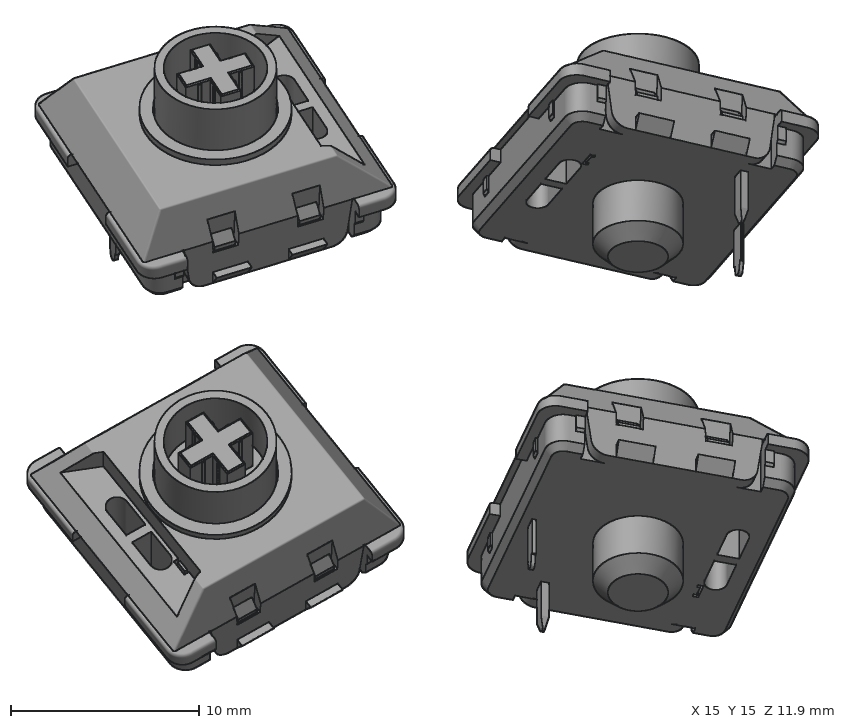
import cadquery as cq


flange_bottom = 2.2
flange_top = 3
housing_top = 5.3
collar_top = 5.7
stem_top = 8.6
peg_bottom = -3.3

overlap = 0.15

body_width = 13.8
body_corner_radius = 1.0
body_chamfer_height = 0.44
body_chamfer_inset = 0.35
lug_width = 0.5
lug_reach = 0.1
lug_tip = 1.2
lug_slope_height = 0.18
end_lug_x = 4.26

flange_width = 15
flange_corner_radius = 1.0
flange_edge_radius = 0.2
flange_gap_x = 4.95
flange_gap_y = 9.99

housing_base_x = 13.68
housing_base_y = 14.55
housing_roof_x = 11.28
housing_roof_front = -5.76
housing_roof_back = 4.56
housing_edge_radius = 0.12

plate_top_half = 4.9
plate_bottom_half = 4.5
plate_corner_radius = 0.93
side_recess_depth = 0.75
clip_y = 2.48
clip_top_width = 1.6
clip_bottom_width = 1.47
clip_wall_x = 6.24
clip_top = 4.12
catch_width = 1.2
catch_edge_x = 6.74
catch_edge_height = 2.46
hook_y = 2.2
hook_width = 2.04
hook_reach = 0.5
hook_height = 0.8

bay_floor = 3.9
bay_front_y = 4.08
bay_back_y = 6.21
bay_front_half = 4.6
bay_back_half = 5.55
window_y = 4.92
window_height = 1.23
window_length = 5.35
window_bar = 0.55
leaf_slot_x = -3.03
leaf_slot_width = 1.0
leaf_slot_depth = 0.3
leaf_width = 0.68
leaf_thickness = 0.16

collar_diameter = 8.1
collar_bore = 6.66
stem_diameter = 6.5
cup_diameter = 5.5
cup_floor = housing_top
cross_span = 3.99
cross_arm = 1.15
cross_drop = 0.1
cross_chamfer = 0.08
cross_rib_width = 0.2
cross_rib_reach = 0.06
cross_rib_offset = 1.18
cross_rib_drop = 0.12
peg_diameter = 4.8
peg_chamfer = 0.8

pin_tip = -3
pin_taper_start = -2.3
pin_tip_radius = 0.25
thick_pin_x = -4.98
thick_pin_y = -3.8
thick_pin_width = 0.8
thick_pin_thickness = 0.45
thick_pin_tip = 0.12
thin_pin_y = -5.9
thin_pin_width = 0.9
thin_pin_neck = 0.7
thin_pin_thickness = 0.22
thin_pin_chamfer = 0.12


def block(x_size, y_size, bottom, top, x=0, y=0):
    """Box centred on (x, y) between two heights."""
    return cq.Workplane("XY", origin=(x, y, bottom)).rect(x_size, y_size).extrude(top - bottom)


def cylinder(diameter, bottom, top):
    return cq.Workplane("XY", origin=(0, 0, bottom)).circle(diameter / 2).extrude(top - bottom)


def both_sides(shape):
    """The shape together with its mirror image in X."""
    return shape.union(shape.mirror("YZ"))


def wedge(points, width, y):
    """Outline in X and Z, extruded along Y and centred on y."""
    return cq.Workplane("XZ", origin=(0, y + width / 2, 0)).polyline(points).close().extrude(width)


def lug(face, centre):
    """Small catch with a sloped tip under the flange, on the +X face of the body."""
    points = [
        (face - overlap, flange_bottom),
        (face + lug_reach, flange_bottom),
        (face + lug_reach, lug_tip + lug_slope_height),
        (face, lug_tip),
        (face - overlap, lug_tip),
    ]
    return wedge(points, lug_width, centre)


def make_body():
    half = body_width / 2
    body = block(body_width, body_width, 0, flange_top).edges("|Z").fillet(body_corner_radius)
    body = body.faces("<Z").chamfer(body_chamfer_height, body_chamfer_inset)
    recess = block(side_recess_depth, flange_gap_y, 0, flange_top, half - side_recess_depth / 2)
    body = body.cut(both_sides(recess))
    side_lug_y = (flange_gap_y + lug_width) / 2
    for sign in (1, -1):
        side_lugs = both_sides(lug(half, sign * side_lug_y))
        end_lugs = both_sides(lug(half, sign * end_lug_x)).rotate((0, 0, 0), (0, 0, 1), 90)
        body = body.union(side_lugs).union(end_lugs)
    return body


def make_flange():
    flange = block(flange_width, flange_width, flange_bottom, flange_top)
    flange = flange.edges("|Z").fillet(flange_corner_radius)
    flange = flange.faces(">Z").edges().fillet(flange_edge_radius)
    flange = flange.cut(block(flange_gap_x, flange_width, flange_bottom, flange_top))
    return flange.cut(block(flange_width, flange_gap_y, flange_bottom, flange_top))


def make_housing():
    roof_depth = housing_roof_back - housing_roof_front
    roof_centre = (housing_roof_back + housing_roof_front) / 2
    housing = (
        cq.Workplane("XY", origin=(0, 0, flange_top))
        .rect(housing_base_x, housing_base_y)
        .workplane(offset=housing_top - flange_top)
        .center(0, roof_centre)
        .rect(housing_roof_x, roof_depth)
        .loft(ruled=True)
    )
    return housing.edges("not <Z").fillet(housing_edge_radius)


def make_side_plates():
    """Slab across the whole body whose two ends form the side plates."""
    return (
        cq.Workplane("YZ", origin=(-housing_base_x / 2, 0, 0))
        .polyline([
            (-plate_top_half, flange_top),
            (plate_top_half, flange_top),
            (plate_bottom_half, 0),
            (-plate_bottom_half, 0),
        ])
        .close()
        .extrude(housing_base_x)
        .edges("|X and <Z")
        .fillet(plate_corner_radius)
    )


def cut_bay(part):
    bay = (
        cq.Workplane("XY", origin=(0, 0, bay_floor))
        .polyline([
            (-bay_front_half, bay_front_y),
            (bay_front_half, bay_front_y),
            (bay_back_half, bay_back_y),
            (-bay_back_half, bay_back_y),
        ])
        .close()
        .extrude(housing_top - bay_floor)
    )
    windows = (
        cq.Workplane("XY", origin=(0, window_y, 0)).slot2D(window_length, window_height).extrude(bay_floor)
        .cut(block(window_bar, window_height, 0, bay_floor, 0, window_y))
    )
    slot_y = bay_front_y + leaf_slot_depth / 2
    leaf_y = bay_front_y + leaf_thickness / 2
    leaf_slot = block(leaf_slot_width, leaf_slot_depth, 0, bay_floor, leaf_slot_x, slot_y)
    leaf = block(leaf_width, leaf_thickness, 0, bay_floor, leaf_slot_x, leaf_y)
    return part.cut(bay).cut(windows).cut(leaf_slot.cut(leaf))


def add_clip(part, y):
    """Pair of tapered clip openings at one Y position, each with a sloped catch inside."""
    plate_x = housing_base_x / 2
    opening = (
        cq.Workplane("YZ", origin=(clip_wall_x, y, 0))
        .polyline([
            (-clip_top_width / 2, clip_top),
            (clip_top_width / 2, clip_top),
            (clip_bottom_width / 2, flange_bottom),
            (-clip_bottom_width / 2, flange_bottom),
        ])
        .close()
        .extrude(plate_x - clip_wall_x)
    )
    catch_points = [
        (clip_wall_x, flange_bottom),
        (catch_edge_x, flange_bottom),
        (catch_edge_x, catch_edge_height),
        (clip_wall_x, flange_top),
    ]
    catch = wedge(catch_points, catch_width, y)
    return part.cut(both_sides(opening)).union(both_sides(catch))


def make_hooks(y):
    """Pair of hooks at the foot of the side plates, flat on top and sloped below."""
    plate_x = housing_base_x / 2
    points = [
        (plate_x - overlap, 0),
        (plate_x, 0),
        (plate_x + hook_reach, hook_height),
        (plate_x - overlap, hook_height),
    ]
    return both_sides(wedge(points, hook_width, y))


def make_stem():
    collar = cylinder(collar_diameter, housing_top, collar_top)
    collar = collar.cut(cylinder(collar_bore, housing_top, collar_top))
    cup = cylinder(stem_diameter, housing_top, stem_top).cut(cylinder(cup_diameter, cup_floor, stem_top))
    cross_top = stem_top - cross_drop
    cross = block(cross_span, cross_arm, cup_floor, cross_top)
    cross = cross.union(block(cross_arm, cross_span, cup_floor, cross_top))
    cross = cross.faces(">Z").chamfer(cross_chamfer)
    rib_top = cross_top - cross_rib_drop
    rib_span = cross_arm + 2 * cross_rib_reach
    for offset in (cross_rib_offset, -cross_rib_offset):
        cross = cross.union(block(cross_rib_width, rib_span, cup_floor, rib_top, x=offset))
        cross = cross.union(block(rib_span, cross_rib_width, cup_floor, rib_top, y=offset))
    return collar.union(cup).union(cross)


def pin_sections(x, y, width, neck, thickness):
    """Shank and tip of a flat pin; the tip steps in to the neck width and narrows to a round end."""
    tip_shoulder = pin_tip + pin_tip_radius
    shank = block(width, thickness, pin_taper_start, 0, x, y)
    tip = (
        cq.Workplane("XZ", origin=(x, y + thickness / 2, 0))
        .moveTo(-neck / 2, pin_taper_start)
        .lineTo(neck / 2, pin_taper_start)
        .lineTo(pin_tip_radius, tip_shoulder)
        .threePointArc((0, pin_tip), (-pin_tip_radius, tip_shoulder))
        .close()
        .extrude(thickness)
    )
    return shank, tip


def make_thin_pin():
    """Pin under the front edge, with its front left edge bevelled."""
    shank, tip = pin_sections(0, thin_pin_y, thin_pin_width, thin_pin_neck, thin_pin_thickness)
    return shank.edges("|Z and <X and <Y").chamfer(thin_pin_chamfer).union(tip)


def make_thick_pin():
    """Pin that also thins in Y towards its tip."""
    shank, tip = pin_sections(thick_pin_x, thick_pin_y, thick_pin_width, thick_pin_width, thick_pin_thickness)
    side = (
        cq.Workplane("YZ", origin=(thick_pin_x - thick_pin_width / 2, thick_pin_y, 0))
        .polyline([
            (-thick_pin_thickness / 2, pin_taper_start),
            (-thick_pin_tip / 2, pin_tip),
            (thick_pin_tip / 2, pin_tip),
            (thick_pin_thickness / 2, pin_taper_start),
        ])
        .close()
        .extrude(thick_pin_width)
    )
    return shank.union(tip.intersect(side))


def make_peg():
    return cylinder(peg_diameter, peg_bottom, 0).faces("<Z").chamfer(peg_chamfer)


result = make_body().union(make_side_plates()).union(make_flange()).union(make_housing())
result = cut_bay(result)
for side in (1, -1):
    result = add_clip(result, side * clip_y)
    result = result.union(make_hooks(side * hook_y))
for feature in (make_stem(), make_peg(), make_thin_pin(), make_thick_pin()):
    result = result.union(feature)